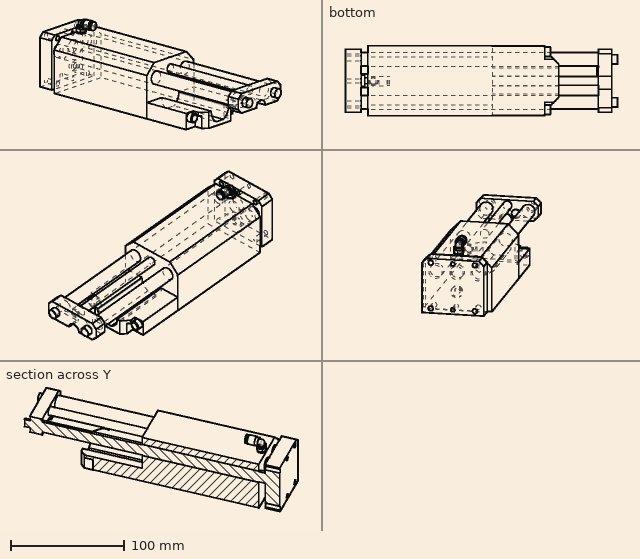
import cadquery as cq
import math

TOTAL_LENGTH = 240.0

PLATE_WIDTH = 56.0
PLATE_CHAMFER = 4.3
FRONT_PLATE_LENGTH = 14.0
FRONT_PLATE_BOTTOM = 1.2
FRONT_PLATE_TOP = 51.0
SCREW_ROW_ZS = (5.3, 47.3)
CORNER_SCREW_Y = 20.0
CORNER_SCREW_DIA = 4.3
MIDDLE_SCREW_DIA = 3.5

HOUSING_START = 19.7
HOUSING_END = 129.4
HOUSING_WIDTH = 62.0
HOUSING_HEIGHT = 50.0
HOUSING_CHAMFER = 9.5

ROD_Y = 19.0
ROD_Z = 35.5
ROD_DIA = 12.0
ROD_END_DIA = 8.5
TUBE_DIA = 8.0
TUBE_Z = 39.5

REAR_PLATE_START = 223.2
REAR_PLATE_END = 235.0
REAR_PLATE_BOTTOM = 26.5
REAR_PLATE_TOP = 44.6
RELIEF_DIA = 11.5
RELIEF_Y = 2.0
STOP_DIA = 7.7
STOP_LENGTH = 1.5
STOP_Y = -8.0
STOP_Z = 32.6

RAIL_WIDTH = 61.7
RAIL_HEIGHT = 15.0
SHOULDER_END = 175.7
RAIL_END = 188.2
NOSE_WIDTH = 42.7
NOSE_CHAMFER = 6.7
UNDERCUT_DEPTH = 2.5
UNDERCUT_TOP = 11.5
GROOVE_RADIUS = 11.3
GROOVE_AXIS_Z = 14.2
GROOVE_FLOOR_Z = 3.8

CUSHION_DIA = 8.5
CUSHION_LENGTH = 5.5
CUSHION_CHAMFER = 0.7
CUSHION_Y = 25.7
CUSHION_Z = 10.5

BUMPER_Z = 18.0
BUMPER_HEAD_DIA = 10.0
BUMPER_HEAD_LENGTH = 3.0
BUMPER_STEM_DIA = 5.0

FITTING_X = 24.2
BASE_RING_DIA = 8.0
BASE_RING_HEIGHT = 1.2
HEX_FLATS = 8.0
HEX_HEIGHT = 3.4
SWIVEL_DIA = 8.5
SWIVEL_HEIGHT = 2.2
SWIVEL_CHAMFER = 0.5
ELBOW_DIA = 5.5
COLLAR_DIA = 7.7
COLLAR_START = 27.0
SOCKET_DIA = 8.5
SOCKET_START = 29.5
SOCKET_END = 36.2
NECK_DIA = 7.7
RELEASE_RING_DIA = 8.0
RELEASE_RING_START = 37.2
RELEASE_RING_END = 38.6
FITTING_TOP = 63.0
SOCKET_Z = FITTING_TOP - SOCKET_DIA / 2


def rod_along_x(diameter, x_start, x_end, y, z):
    plane = cq.Plane(origin=(x_start, y, z), xDir=(0, 1, 0), normal=(1, 0, 0))
    return cq.Workplane(plane).circle(diameter / 2).extrude(x_end - x_start)


def block(x_start, x_end, width, z_bottom, z_top):
    """A box that is centred on Y = 0."""
    box = cq.Workplane("XY").box(x_end - x_start, width, z_top - z_bottom, centered=(False, True, False))
    return box.translate((x_start, 0, z_bottom))


def make_front_plate():
    plate = block(0, FRONT_PLATE_LENGTH, PLATE_WIDTH, FRONT_PLATE_BOTTOM, FRONT_PLATE_TOP)
    plate = plate.edges("|X and >Z").chamfer(PLATE_CHAMFER)
    screw_dias = {-CORNER_SCREW_Y: CORNER_SCREW_DIA, 0: MIDDLE_SCREW_DIA, CORNER_SCREW_Y: CORNER_SCREW_DIA}
    for z in SCREW_ROW_ZS:
        for y, diameter in screw_dias.items():
            plate = plate.cut(rod_along_x(diameter, 0, FRONT_PLATE_LENGTH, y, z))
    return plate


def make_rear_plate():
    plate = block(REAR_PLATE_START, REAR_PLATE_END, PLATE_WIDTH, REAR_PLATE_BOTTOM, REAR_PLATE_TOP)
    plate = plate.edges("|X").chamfer(PLATE_CHAMFER)
    plate = plate.cut(rod_along_x(RELIEF_DIA, REAR_PLATE_START, REAR_PLATE_END, RELIEF_Y, REAR_PLATE_BOTTOM))
    stop = rod_along_x(STOP_DIA, REAR_PLATE_START - STOP_LENGTH, REAR_PLATE_START, STOP_Y, STOP_Z)
    return plate.union(stop)


def make_slide():
    """Both end plates and the rods between them."""
    slide = make_front_plate().union(make_rear_plate())
    for y in (-ROD_Y, ROD_Y):
        slide = slide.union(rod_along_x(ROD_DIA, FRONT_PLATE_LENGTH, REAR_PLATE_START, y, ROD_Z))
        slide = slide.union(rod_along_x(ROD_END_DIA, REAR_PLATE_END, TOTAL_LENGTH, y, ROD_Z))
    slide = slide.union(rod_along_x(ROD_DIA, FRONT_PLATE_LENGTH, HOUSING_START, 0, ROD_Z))
    return slide.union(rod_along_x(TUBE_DIA, HOUSING_END, REAR_PLATE_START, 0, TUBE_Z))


def make_rail():
    """Shoulders with a longer, chamfered nose between them and a round-sided groove along the middle."""
    shoulders = block(HOUSING_END, SHOULDER_END, RAIL_WIDTH, 0, RAIL_HEIGHT)
    nose = block(HOUSING_END, RAIL_END, NOSE_WIDTH, 0, RAIL_HEIGHT)
    nose = nose.edges("|Z and >X").chamfer(NOSE_CHAMFER)
    slim_width = NOSE_WIDTH - 2 * UNDERCUT_DEPTH
    undercut = block(SHOULDER_END, RAIL_END, NOSE_WIDTH, 0, UNDERCUT_TOP)
    undercut = undercut.cut(block(SHOULDER_END, RAIL_END, slim_width, 0, UNDERCUT_TOP))
    rail = shoulders.union(nose.cut(undercut))

    groove = rod_along_x(2 * GROOVE_RADIUS, HOUSING_END, RAIL_END, 0, GROOVE_AXIS_Z)
    groove = groove.union(block(HOUSING_END, RAIL_END, 2 * GROOVE_RADIUS, GROOVE_AXIS_Z, RAIL_HEIGHT))
    groove = groove.cut(block(HOUSING_END, RAIL_END, 2 * GROOVE_RADIUS, 0, GROOVE_FLOOR_Z))
    rail = rail.cut(groove)

    for y in (-CUSHION_Y, CUSHION_Y):
        cushion = rod_along_x(CUSHION_DIA, SHOULDER_END, SHOULDER_END + CUSHION_LENGTH, y, CUSHION_Z)
        rail = rail.union(cushion.faces(">X").chamfer(CUSHION_CHAMFER))
    return rail


def make_bumper():
    head_end = FRONT_PLATE_LENGTH + BUMPER_HEAD_LENGTH
    head = rod_along_x(BUMPER_HEAD_DIA, FRONT_PLATE_LENGTH, head_end, 0, BUMPER_Z)
    return head.union(rod_along_x(BUMPER_STEM_DIA, head_end, HOUSING_START, 0, BUMPER_Z))


def make_fitting():
    """Elbow fitting: a stem with a hexagon, a ball-cornered elbow and a socket along X."""
    stem = cq.Workplane("XY", origin=(FITTING_X, 0, HOUSING_HEIGHT))
    stem = stem.circle(BASE_RING_DIA / 2).extrude(BASE_RING_HEIGHT)
    hex_corners_dia = HEX_FLATS / math.cos(math.pi / 6)
    stem = stem.faces(">Z").workplane().polygon(6, hex_corners_dia).extrude(HEX_HEIGHT)
    stem = stem.faces(">Z").workplane().circle(SWIVEL_DIA / 2).extrude(SWIVEL_HEIGHT)
    stem = stem.faces(">Z").chamfer(SWIVEL_CHAMFER)

    leg_length = SOCKET_Z - HOUSING_HEIGHT
    riser = cq.Workplane("XY", origin=(FITTING_X, 0, HOUSING_HEIGHT)).circle(ELBOW_DIA / 2).extrude(leg_length)
    ball = cq.Workplane("XY", origin=(FITTING_X, 0, SOCKET_Z)).sphere(ELBOW_DIA / 2)
    fitting = stem.union(riser).union(ball)

    socket_parts = (
        (ELBOW_DIA, FITTING_X, COLLAR_START),
        (COLLAR_DIA, COLLAR_START, SOCKET_START),
        (SOCKET_DIA, SOCKET_START, SOCKET_END),
        (NECK_DIA, SOCKET_END, RELEASE_RING_START),
        (RELEASE_RING_DIA, RELEASE_RING_START, RELEASE_RING_END),
    )
    for diameter, x_start, x_end in socket_parts:
        fitting = fitting.union(rod_along_x(diameter, x_start, x_end, 0, SOCKET_Z))
    return fitting


def make_housing():
    """Chamfered block with two rod bores, the rail, the bumper and the elbow fitting."""
    housing = block(HOUSING_START, HOUSING_END, HOUSING_WIDTH, 0, HOUSING_HEIGHT)
    housing = housing.edges("|X and >Z").chamfer(HOUSING_CHAMFER)
    for y in (-ROD_Y, ROD_Y):
        housing = housing.cut(rod_along_x(ROD_DIA, HOUSING_START, HOUSING_END, y, ROD_Z))
    return housing.union(make_rail()).union(make_bumper()).union(make_fitting())


housing = make_housing()
slide = make_slide()
result = cq.Compound.makeCompound([housing.val(), slide.val()])